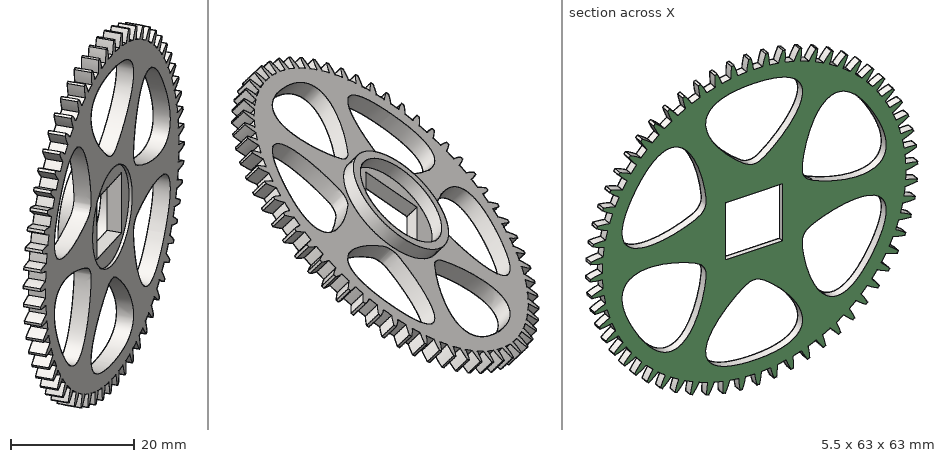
import cadquery as cq
import math

plate_thickness = 3.0
overall_width = 5.5
ring_height = overall_width - plate_thickness
ring_outer_diameter = 20.35
ring_inner_diameter = 17.3
ring_bore_depth = 2.4
back_recess_depth = 0.55
square_bore = 10.85

tooth_count = 60
overall_span = 63.0
root_radius = 29.2
flank_radius = 30.5
tip_half_width = 0.25
flank_half_width = 0.5
root_half_width = 0.7
tooth_pitch_angle = 360 / tooth_count
first_tooth_angle = -tooth_pitch_angle / 4
root_overlap = 0.6

tip_corner_angle = math.radians(tooth_pitch_angle / 4) - math.asin(tip_half_width / (overall_span / 2))
tip_radius = overall_span / 2 / math.cos(tip_corner_angle)

window_count = 6
window_inner_radius = 11.15
window_outer_radius = 26.45
nose_half_width = 2.0
nose_radius = 11.9
window_half_width = 9.25
widest_radius = 21.4


def on_circle(radius, offset):
    """Point on a circle about the axis, at a sideways offset from local +X."""
    return math.sqrt(radius**2 - offset**2), offset


def make_tooth():
    """One tooth pointing along +Y, with curved flanks and a round-topped tip."""
    base = root_radius - root_overlap
    return (
        cq.Workplane("YZ")
        .moveTo(base, -root_half_width)
        .lineTo(*on_circle(root_radius, -root_half_width))
        .threePointArc(on_circle(flank_radius, -flank_half_width), on_circle(tip_radius, -tip_half_width))
        .threePointArc((tip_radius, 0), on_circle(tip_radius, tip_half_width))
        .threePointArc(on_circle(flank_radius, flank_half_width), on_circle(root_radius, root_half_width))
        .lineTo(base, root_half_width)
        .close()
        .extrude(plate_thickness)
    )


def make_window():
    """One rounded triangular opening on the +Z side, made of two mirrored halves."""
    inner_end = (0, window_inner_radius)
    outer_end = (0, window_outer_radius)
    half_outline = [inner_end, (nose_half_width, nose_radius), (window_half_width, widest_radius), outer_end]
    half_window = (
        cq.Workplane("YZ")
        .spline(half_outline, tangents=[(1, 0), (-1, 0)])
        .close()
        .extrude(plate_thickness)
    )
    return half_window.union(half_window.mirror("XZ"))


def copies_about_axis(shape, count, start_angle=0):
    """Equally spaced copies of a shape around the X axis."""
    step = 360 / count
    return [shape.rotate((0, 0, 0), (1, 0, 0), start_angle + i * step).val() for i in range(count)]


rim = cq.Workplane("YZ").circle(root_radius).extrude(plate_thickness)
teeth = copies_about_axis(make_tooth(), tooth_count, first_tooth_angle)
plate = cq.Workplane(rim.val().fuse(*teeth))

windows = copies_about_axis(make_window(), window_count)
plate = cq.Workplane(plate.val().cut(*windows))

hub_face = cq.Workplane("YZ").workplane(offset=-ring_height)
hub = hub_face.circle(ring_outer_diameter / 2).extrude(ring_height)
ring_bore = hub_face.circle(ring_inner_diameter / 2).extrude(ring_bore_depth)

back_recess = (
    cq.Workplane("YZ")
    .workplane(offset=plate_thickness)
    .circle(ring_inner_diameter / 2)
    .extrude(-back_recess_depth)
)
square_hole = hub_face.rect(square_bore, square_bore).extrude(overall_width)

result = plate.union(hub).cut(ring_bore).cut(back_recess).cut(square_hole)